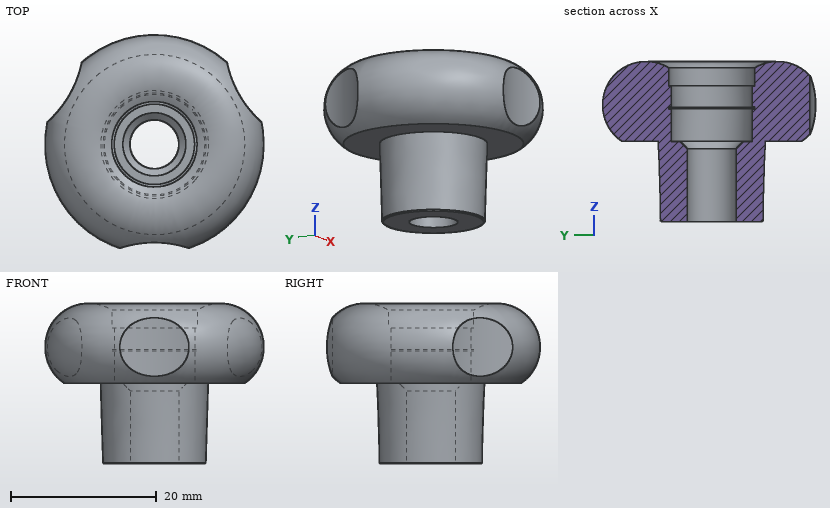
import cadquery as cq
import math

knob_radius = 15.0
total_height = 21.98
hub_height = 11.0

grip_section_radius = 6.0
grip_center_radius = knob_radius - grip_section_radius
grip_center_z = total_height - grip_section_radius

hub_top_radius = 7.38
hub_bottom_radius = 7.05
hub_edge_chamfer = 0.18

scallop_count = 3
scallop_radius = 15.0
scallop_depth = 1.53
scallop_center_radius = knob_radius - scallop_depth + scallop_radius

mouth_diameter = 11.7
bore_diameter = 11.0
hole_diameter = 6.65
countersink_diameter = 8.65
mouth_floor_z = 18.6
groove_top_z = 15.68
groove_height = 0.25
bore_floor_z = hub_height


def make_grip():
    """Revolve a round section, cut flat underneath and filled to the axis."""
    drop = grip_center_z - hub_height
    underside_radius = grip_center_radius + math.sqrt(grip_section_radius**2 - drop**2)
    mouth_radius = mouth_diameter / 2
    rim_offset = grip_center_radius - mouth_radius
    rim_z = grip_center_z + math.sqrt(grip_section_radius**2 - rim_offset**2)
    return (
        cq.Workplane("XZ")
        .moveTo(0, hub_height)
        .lineTo(underside_radius, hub_height)
        .threePointArc((knob_radius, grip_center_z), (mouth_radius, rim_z))
        .lineTo(0, rim_z)
        .close()
        .revolve(360, (0, 0), (0, 1))
    )


def make_hub():
    """Cone frustum that narrows downwards, with a chamfered bottom edge."""
    return (
        cq.Workplane("XY")
        .circle(hub_bottom_radius)
        .workplane(offset=hub_height)
        .circle(hub_top_radius)
        .loft()
        .faces("<Z")
        .chamfer(hub_edge_chamfer)
    )


def make_cylinder(diameter, bottom_z, top_z):
    """Solid cylinder on the Z axis."""
    return cq.Workplane("XY", origin=(0, 0, bottom_z)).circle(diameter / 2).extrude(top_z - bottom_z)


def cut_bore(body):
    """Cut the mouth, bore, thin groove, countersink and through hole."""
    body = body.cut(make_cylinder(mouth_diameter, mouth_floor_z, total_height))
    body = body.cut(make_cylinder(bore_diameter, bore_floor_z, mouth_floor_z))
    body = body.cut(make_cylinder(mouth_diameter, groove_top_z - groove_height, groove_top_z))
    body = body.cut(make_cylinder(hole_diameter, 0, bore_floor_z))

    countersink_depth = (countersink_diameter - hole_diameter) / 2
    countersink = (
        cq.Workplane("XY", origin=(0, 0, bore_floor_z - countersink_depth))
        .circle(hole_diameter / 2)
        .workplane(offset=countersink_depth)
        .circle(countersink_diameter / 2)
        .loft()
    )
    return body.cut(countersink)


def cut_scallops(body):
    """Cut equally spaced upright scallops, the first one facing -Y."""
    for index in range(scallop_count):
        angle = math.radians(-90 + index * 360 / scallop_count)
        x = scallop_center_radius * math.cos(angle)
        y = scallop_center_radius * math.sin(angle)
        scallop = cq.Workplane("XY").center(x, y).circle(scallop_radius).extrude(total_height)
        body = body.cut(scallop)
    return body


result = cut_scallops(cut_bore(make_grip().union(make_hub())))